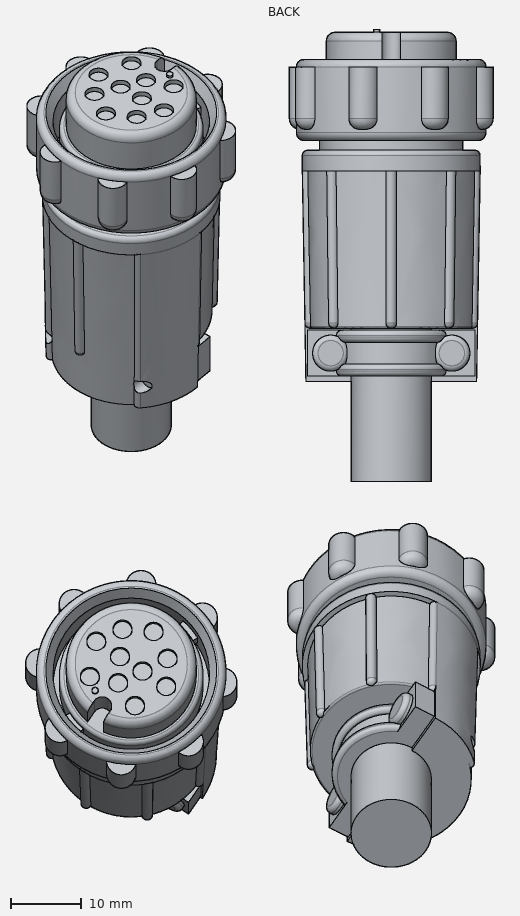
import cadquery as cq
import math

cable_bottom = 0.0
front_shell_bottom = 14.1
rear_shell_bottom = 21.6
shell_top = 43.8
collar_top = 46.7
nut_bottom = 48.05
grip_top = 58.4
nut_top = 59.5
plug_top = 63.35
marker_top = 63.7

cable_radius = 5.7
shell_top_radius = 11.8
shell_bottom_radius = 11.3
rib_radius = 0.75
collar_radius = shell_top_radius + rib_radius
collar_round = 0.75
shell_edge_round = 0.25
rib_angles = (-90, 0, 45, 90, 135, 180)
split_rib_angles = (-45, -135)
raised_panel_angles = ((-45, 0), (-180, -135))

screw_spacing = 17.1
screw_points = ((-screw_spacing / 2, 0), (screw_spacing / 2, 0))
screw_height = 18.1
screw_hole_radius = 1.15
screw_hole_depth = 4.45

clamp_bottom = 14.85
clamp_top = 21.35
clamp_half_width = 11.8
clamp_thickness = 3.1
saddle_radius = 7.45
saddle_rim_radius = 8.35
saddle_rim_height = 1.7
saddle_rim_round = 0.75
screw_head_radius = 2.55
screw_head_height = 1.2
screw_head_round = 0.75

nut_radius = 13.4
nut_bore_radius = 11.0
nut_bore_floor = 51.0
nut_mouth_radius = 12.05
nut_mouth_depth = 1.65
nut_top_round = 1.1
nut_bottom_round = 1.15
grip_count = 8
grip_first_angle = 27.5
grip_radius = 2.1
grip_center_radius = 12.9
grip_bottom = 49.65
grip_bottom_round = 1.5

neck_radius = 10.1
neck_top = 57.1
neck_top_round = 0.65
lug_radius = 10.95
lug_bottom = 53.5
lug_top = 56.1
lug_first_angle = 65
lug_span = 17
plug_radius = 9.2
plug_round = 1.3
contact_radius = 1.35
contact_depth = 0.75
contact_points = (
    (-1.9, 0), (1.9, 0), (-5.9, 0), (5.9, 0),
    (-3.8, 4.8), (3.8, 4.8), (-3.8, -3.5), (3.8, -3.5),
    (0, 3.3), (0, -5.7),
)
key_width = 2.7
key_center_y = 7.4
key_depth = 7.65
marker_point = (2.05, 6.1)
marker_radius = 0.45


def cylinder(radius, bottom, top):
    return cq.Workplane("XY").workplane(offset=bottom).circle(radius).extrude(top - bottom)


def shell_radius(height):
    """Radius of the tapered shell at a given height."""
    share = (height - front_shell_bottom) / (shell_top - front_shell_bottom)
    return shell_bottom_radius + share * (shell_top_radius - shell_bottom_radius)


def tapered_shell(bottom, extra_radius=0.0):
    """Cone frustum from the given height up to the collar."""
    profile = [
        (0, bottom),
        (shell_radius(bottom) + extra_radius, bottom),
        (shell_top_radius + extra_radius, shell_top),
        (0, shell_top),
    ]
    return cq.Workplane("XZ").polyline(profile).close().revolve()


def wedge(first_angle, last_angle, top):
    """Triangular prism covering an angular range, reaching past the part."""
    reach = 2 * nut_radius
    corners = [(0, 0)]
    for angle in (first_angle, last_angle):
        turn = math.radians(angle)
        corners.append((reach * math.cos(turn), reach * math.sin(turn)))
    return cq.Workplane("XY").polyline(corners).close().extrude(top)


def rib(bottom, angle):
    """Round rib lying along the tapered shell surface."""
    start = cq.Vector(shell_radius(bottom), 0, bottom)
    end = cq.Vector(shell_top_radius, 0, shell_top)
    along = end - start
    bar = cq.Workplane(cq.Solid.makeCylinder(rib_radius, along.Length, start, along))
    return bar.rotate((0, 0, 0), (0, 0, 1), angle)


def round_end(bottom, angle):
    """Ball that closes the lower end of a rib."""
    ball = cq.Workplane("XY").sphere(rib_radius).translate((shell_radius(bottom), 0, bottom))
    return ball.rotate((0, 0, 0), (0, 0, 1), angle)


def make_shell():
    reach = 2 * nut_radius
    rear = tapered_shell(rear_shell_bottom).faces("<Z").edges().fillet(shell_edge_round)
    front_half = cq.Workplane("XY").box(
        2 * reach, reach, shell_top, centered=(True, False, False)
    ).translate((0, -reach, 0))
    shell = rear.union(tapered_shell(front_shell_bottom).intersect(front_half))

    raised = tapered_shell(front_shell_bottom, rib_radius)
    for first_angle, last_angle in raised_panel_angles:
        shell = shell.union(raised.intersect(wedge(first_angle, last_angle, shell_top)))

    rib_end = rear_shell_bottom + rib_radius
    for angle in rib_angles:
        shell = shell.union(rib(rib_end, angle)).union(round_end(rib_end, angle))
    for angle in split_rib_angles:
        shell = shell.union(rib(front_shell_bottom, angle))
    shell = shell.cut(cylinder(nut_radius, cable_bottom, front_shell_bottom))
    collar = cylinder(collar_radius, shell_top, collar_top).faces(">Z").edges().fillet(collar_round)
    return shell.union(collar)


def make_screw_holes():
    floor_y = screw_hole_depth - shell_bottom_radius
    return (
        cq.Workplane("XZ", origin=(0, floor_y, screw_height))
        .pushPoints(screw_points)
        .circle(screw_hole_radius)
        .extrude(2 * screw_hole_depth)
    )


def make_clamp():
    height = clamp_top - clamp_bottom
    bar = cq.Workplane("XY", origin=(0, 0, clamp_bottom)).box(
        2 * clamp_half_width, clamp_thickness, height, centered=(True, False, False)
    )
    saddle = cylinder(saddle_radius, clamp_bottom, clamp_top)
    for bottom in (clamp_bottom, clamp_top - saddle_rim_height):
        rim = cylinder(saddle_rim_radius, bottom, bottom + saddle_rim_height)
        rim = rim.edges().fillet(saddle_rim_round)
        saddle = saddle.union(rim)
    heads = (
        cq.Workplane("XZ", origin=(0, clamp_thickness, screw_height))
        .pushPoints(screw_points)
        .circle(screw_head_radius)
        .extrude(-screw_head_height)
        .faces(">Y").edges().fillet(screw_head_round)
    )
    return bar.union(saddle).union(heads)


def make_nut():
    nut = cylinder(nut_radius, nut_bottom, nut_top)
    nut = nut.faces(">Z").edges().fillet(nut_top_round)
    nut = nut.faces("<Z").edges().fillet(nut_bottom_round)
    for index in range(grip_count):
        grip = cylinder(grip_radius, grip_bottom, grip_top).faces("<Z").edges().fillet(grip_bottom_round)
        angle = grip_first_angle + index * 360 / grip_count
        grip = grip.translate((grip_center_radius, 0, 0)).rotate((0, 0, 0), (0, 0, 1), angle)
        nut = nut.union(grip)
    mouth_floor = nut_top - nut_mouth_depth
    bore_profile = [
        (0, nut_bore_floor),
        (nut_bore_radius, nut_bore_floor),
        (nut_bore_radius, mouth_floor),
        (nut_mouth_radius, nut_top),
        (0, nut_top),
    ]
    bore = cq.Workplane("XZ").polyline(bore_profile).close().revolve()
    return nut.cut(bore)


def make_neck():
    neck = cylinder(neck_radius, collar_top, neck_top).faces(">Z").edges().fillet(neck_top_round)
    lug_ring = cylinder(lug_radius, lug_bottom, lug_top)
    for first_angle in (lug_first_angle, lug_first_angle + 180):
        sector = wedge(first_angle, first_angle + lug_span, plug_top)
        neck = neck.union(lug_ring.intersect(sector))
    return neck


def make_insert():
    plug = cylinder(plug_radius, collar_top, plug_top).faces(">Z").edges().fillet(plug_round)
    contacts = (
        cq.Workplane("XY", origin=(0, 0, plug_top))
        .pushPoints(contact_points)
        .circle(contact_radius)
        .extrude(-contact_depth)
    )
    key_length = 2 * (plug_radius - key_center_y) + key_width
    key = (
        cq.Workplane("XY", origin=(0, key_center_y + key_length / 2 - key_width / 2, plug_top))
        .slot2D(key_length, key_width, 90)
        .extrude(-key_depth)
    )
    marker = cylinder(marker_radius, plug_top - contact_depth, marker_top)
    return plug.cut(contacts).cut(key).union(marker.translate((*marker_point, 0)))


result = (
    make_shell()
    .cut(make_screw_holes())
    .union(make_clamp())
    .union(cylinder(cable_radius, cable_bottom, shell_top))
    .union(make_nut())
    .union(make_neck())
    .union(make_insert())
)